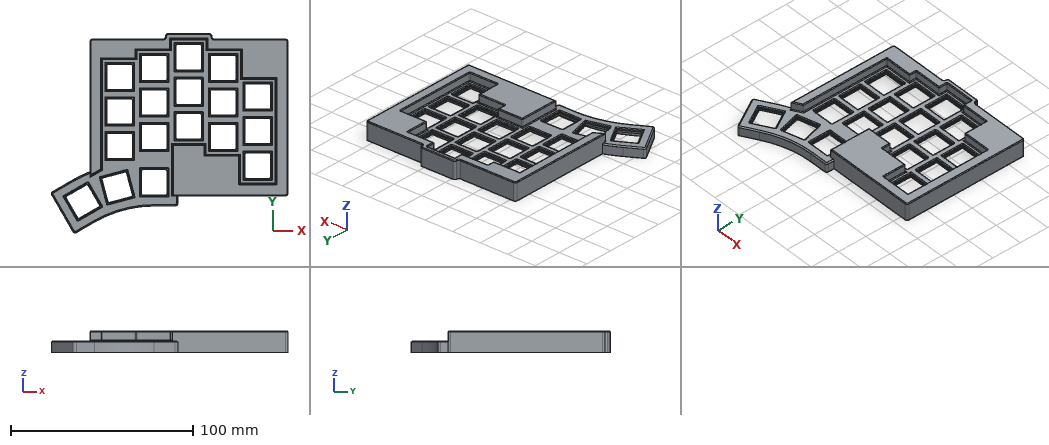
import cadquery as cq
import math

total_height = 12.0
floor_height = 6.5

corner_radius = 1.4
edge_chamfer = 0.5
thumb_chamfer = 0.8

pitch = 19.0
half_pitch = pitch / 2
first_column_x = 37.4
keys_per_column = 3
column_top_y = [85.7, 90.6, 96.4, 90.6, 74.9]
column_x = [first_column_x + i * pitch for i in range(len(column_top_y))]
tab_column = 2

thumb_x = column_x[1]
thumb_y = 27.8
fan_radius = 78.3
fan_step = 15.0
thumb_key_count = 3
fan_sweep = fan_step * (thumb_key_count - 1)
thumb_half_size = 13.0

body_left = 21.2
body_right = 129.8
body_bottom = 20.4
body_top = 106.4
tab_top = 109.4
tab_half_width = 12.7

plate_thickness = 2.3
wall_thickness = 1.3
cavity_height = floor_height - plate_thickness

opening_size = 13.9
opening_corner_radius = 0.5
seat_size = 15.0
seat_depth = 1.3


def fan_point(angle, radius, along=0.0):
    """Point at a fan angle and radius, shifted along the tangent (positive = away from the first key)."""
    a = math.radians(angle)
    x = thumb_x - radius * math.sin(a) - along * math.cos(a)
    y = thumb_y - fan_radius + radius * math.cos(a) - along * math.sin(a)
    return (x, y)


def column_bottom(i):
    """Lower cell edge of a key column."""
    return column_top_y[i] - (keys_per_column - 1) * pitch - half_pitch


def body_block(height, inset=0):
    """Raised body outline, drawn in by an inset and extruded up from the base."""
    left = body_left + inset
    right = body_right - inset
    bottom = body_bottom + inset
    top = body_top - inset
    tab_left = column_x[tab_column] - tab_half_width + inset
    tab_right = column_x[tab_column] + tab_half_width - inset
    outline = [
        (left, bottom),
        (right, bottom),
        (right, top),
        (tab_right, top),
        (tab_right, tab_top - inset),
        (tab_left, tab_top - inset),
        (tab_left, top),
        (left, top),
    ]
    return cq.Workplane("XY").polyline(outline).close().extrude(height)


def thumb_block(height, inset=0):
    """Curved thumb plate outline, drawn in by an inset and extruded up from the base."""
    half_size = thumb_half_size - inset
    inner = fan_radius - half_size
    outer = fan_radius + half_size
    right = thumb_x + half_size
    return (
        cq.Workplane("XY")
        .moveTo(right, thumb_y - half_size)
        .lineTo(*fan_point(0, inner))
        .threePointArc(fan_point(fan_sweep / 2, inner), fan_point(fan_sweep, inner))
        .lineTo(*fan_point(fan_sweep, inner, half_size))
        .lineTo(*fan_point(fan_sweep, outer, half_size))
        .lineTo(*fan_point(fan_sweep, outer))
        .threePointArc(fan_point(fan_sweep / 2, outer), fan_point(0, outer))
        .lineTo(right, thumb_y + half_size)
        .close()
        .extrude(height)
    )


def make_outer_shape():
    """Body and thumb plate with rounded corners and chamfered top edges."""
    body = body_block(total_height).edges("|Z").fillet(corner_radius)
    body = body.faces(">Z").edges().chamfer(edge_chamfer)
    thumb_plate = thumb_block(floor_height).edges("|Z").edges("<X or >X or <Y").fillet(corner_radius)
    thumb_plate = thumb_plate.faces(">Z").edges().chamfer(thumb_chamfer)
    return body.union(thumb_plate)


def make_cavity():
    """Space under the key plate, one wall thickness inside the whole footprint."""
    body_cavity = body_block(cavity_height, wall_thickness)
    thumb_cavity = thumb_block(cavity_height, wall_thickness)
    return body_cavity.union(thumb_cavity)


def recess_outline():
    """Outline of the key cells at floor level, run out past the body around the thumb keys."""
    points = []
    for x, top in zip(column_x, column_top_y):
        points.append((x - half_pitch, top + half_pitch))
        points.append((x + half_pitch, top + half_pitch))
    for i in range(len(column_x) - 1, tab_column - 1, -1):
        points.append((column_x[i] + half_pitch, column_bottom(i)))
        points.append((column_x[i] - half_pitch, column_bottom(i)))
    island_left = column_x[tab_column] - half_pitch
    points.append((island_left, 0))
    edge_x, edge_y = fan_point(fan_sweep, fan_radius + half_pitch)
    slope = math.tan(math.radians(fan_sweep))
    rim_x = column_x[0] - half_pitch
    points.append((0, 0))
    points.append((0, edge_y - slope * edge_x))
    points.append((rim_x, edge_y + slope * (rim_x - edge_x)))
    return points


def make_recess():
    """Recess volume: a sloped foot, upright walls and a flared rim."""
    foot = (
        cq.Workplane("XY", origin=(0, 0, floor_height))
        .polyline(recess_outline())
        .close()
        .extrude(edge_chamfer, taper=-45)
    )
    walls = (
        cq.Workplane("XY", origin=(0, 0, floor_height + edge_chamfer))
        .polyline(recess_outline())
        .close()
        .offset2D(edge_chamfer, "intersection")
        .extrude(total_height - floor_height - edge_chamfer)
        .edges("|Z")
        .fillet(edge_chamfer)
    )
    rim = (
        cq.Workplane("XY", origin=(0, 0, total_height - edge_chamfer))
        .polyline(recess_outline())
        .close()
        .offset2D(edge_chamfer, "intersection")
        .extrude(edge_chamfer, taper=-45)
    )
    return foot.union(walls).union(rim)


def make_key_opening():
    """Cutter for one key at the origin: chamfered seat above a smaller through opening."""
    through = cq.Workplane("XY").rect(opening_size, opening_size).extrude(floor_height)
    through = through.edges("|Z").fillet(opening_corner_radius)
    seat = (
        cq.Workplane("XY", origin=(0, 0, floor_height - seat_depth))
        .rect(seat_size, seat_size)
        .extrude(seat_depth)
    )
    mouth = (
        cq.Workplane("XY", origin=(0, 0, floor_height - edge_chamfer))
        .rect(seat_size, seat_size)
        .extrude(edge_chamfer, taper=-45)
    )
    return through.union(seat).union(mouth)


result = make_outer_shape().cut(make_recess()).cut(make_cavity())

key_opening = make_key_opening()
for x, top in zip(column_x, column_top_y):
    for row in range(keys_per_column):
        result = result.cut(key_opening.translate((x, top - row * pitch, 0)))
for key in range(thumb_key_count):
    angle = key * fan_step
    x, y = fan_point(angle, fan_radius)
    turned = key_opening.rotate((0, 0, 0), (0, 0, 1), angle)
    result = result.cut(turned.translate((x, y, 0)))